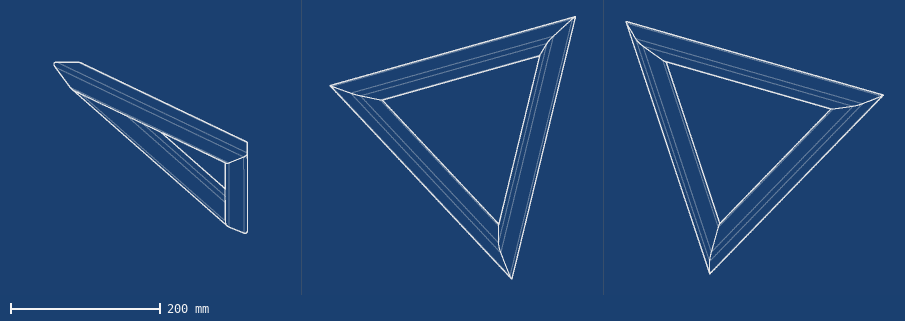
import cadquery as cq
import math

frame_length = 365.5
bar_width = 30.0
corner_radius = bar_width / 6
bar_count = 3

axis_y = math.sqrt(2 / 3)
axis_z = math.sqrt(1 / 3)
frame_axis = cq.Vector(0, axis_y, axis_z)
outward = cq.Vector(0, -axis_z, axis_y)

miter_slope = math.tan(math.pi / bar_count)
outer_reach = frame_length / 2 / miter_slope
section_reach = (bar_width / 2 - corner_radius) * (axis_y + axis_z) + corner_radius
bar_distance = outer_reach - section_reach
bar_center = outward * bar_distance


def miter_wedge():
    """Triangular prism along the frame axis that limits one bar to its share of the turn."""
    wedge_height = outer_reach + bar_width
    half_base = wedge_height * miter_slope
    plane = cq.Plane(origin=(0, 0, 0), xDir=(1, 0, 0), normal=frame_axis.toTuple())
    return (
        cq.Workplane(plane)
        .polyline([(0, 0), (half_base, -wedge_height), (-half_base, -wedge_height)])
        .close()
        .extrude(2 * bar_width, both=True)
    )


def mitered_bar(index):
    """Square bar with rounded long edges and mitered ends, turned to its side of the frame."""
    bar = (
        cq.Workplane("XY")
        .box(frame_length, bar_width, bar_width)
        .edges("|X")
        .fillet(corner_radius)
        .translate(bar_center)
        .intersect(miter_wedge())
    )
    return bar.rotate((0, 0, 0), frame_axis.toTuple(), index * 360 / bar_count)


bars = [mitered_bar(index) for index in range(bar_count)]

result = cq.Compound.makeCompound([solid for bar in bars for solid in bar.solids().vals()])